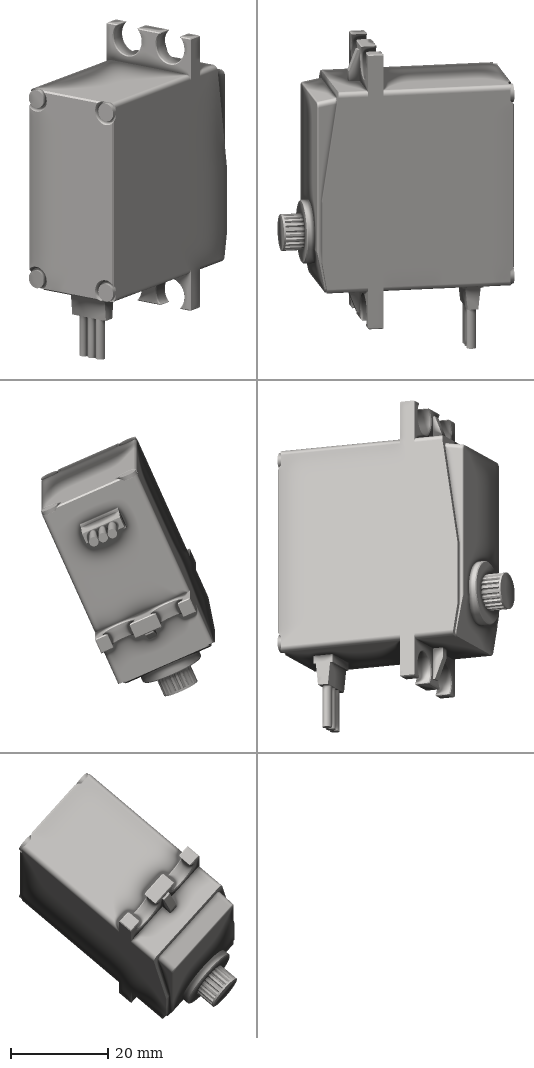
import cadquery as cq
import math


overall_height = 65.2

case_width = 21.4
case_height = 42.6
case_corner = 1.05
cover_edge = 0.3
case_front_low = 39.1
case_front_peak = 40.25
case_front_high = 36.7
peak_start_z = 6.5
peak_end_z = 19.55

cap_width = 19.3
cap_corner = 1.05
cap_base = 32.6
cap_front = 41.1
cap_low_z = 8.6
cap_edge = 0.3
cap_high_z = 40.45
cap_root_high_z = 41.2
cap_stand_off = 0.25

flange_back = 27.4
flange_thickness = 3.25
flange_overhang = 7.8
flange_edge = 0.2
hole_radius = 3.5
hole_offset_x = 5.4
hole_edge_gap = 2.7

rib_width = 1.8
rib_height = 2.2
rib_tip_height = 0.45
rib_flat_length = 2.1
rib_length = 6.5

shaft_z = 10.9
washer_radius = 6.6
washer_front = 42.65
washer_edge = 0.2
shaft_front = 46.95
spline_teeth = 21
spline_tip_radius = 3.8
end_disc_thickness = 0.4
spline_root_radius = 3.4
tip_land_share = 0.4
root_land_share = 0.2

screw_radius = 1.9
screw_inset_x = case_width / 2 - screw_radius
screw_inset_z = 2.0
recess_radius = 2.7
recess_floor_radius = 2.2
recess_depth = 0.85

cable_y = 7.5
grommet_width = 8.55
grommet_collar = 4.3
grommet_collar_length = 1.6
grommet_neck = 3.2
grommet_tip = 2.2
grommet_length = 6.2
grommet_root = 0.3
wire_count = 3
wire_radius = 1.0
wire_pitch = 2.1
wire_end_z = case_height + flange_overhang - overall_height

middle_z = case_height / 2


def side_profile(points, width):
    """Extrude a (Y, Z) outline to a width centred on X = 0."""
    return cq.Workplane("YZ").polyline(points).close().extrude(width / 2, both=True)


def mirror_ends(body):
    """Add the copy of a body at the other end of the case."""
    return body.union(body.mirror("XY", (0, 0, middle_z)))


def make_case():
    outline = [
        (0, 0),
        (case_front_low, 0),
        (case_front_peak, peak_start_z),
        (case_front_peak, peak_end_z),
        (case_front_high, case_height),
        (0, case_height),
    ]
    case = side_profile(outline, case_width)
    return case.edges("|Y").fillet(case_corner).faces("<Y").chamfer(cover_edge)


def make_cap():
    end_slope = (cap_root_high_z - cap_high_z) / (cap_front - case_front_high)
    base_high_z = cap_root_high_z + end_slope * (case_front_high - cap_base)
    outline = [
        (cap_base, 0),
        (case_front_low + cap_stand_off, 0),
        (cap_front, cap_low_z),
        (cap_front, cap_high_z),
        (cap_base, base_high_z),
    ]
    cap = side_profile(outline, cap_width).edges("|Y").fillet(cap_corner)
    sloped_end = cq.selectors.ParallelDirSelector(cq.Vector(0, -1, end_slope))
    cap = cap.edges(sloped_end).fillet(cap_corner)
    return cap.faces(">Y").edges().fillet(cap_edge)


def make_flange():
    flange_height = case_height + 2 * flange_overhang
    flange = cq.Workplane("XY").box(case_width, flange_thickness, flange_height)
    flange = flange.translate((0, flange_back + flange_thickness / 2, middle_z))
    hole_z = middle_z + flange_overhang - hole_edge_gap
    holes = (
        cq.Workplane("XZ", origin=(0, 0, middle_z))
        .rect(2 * hole_offset_x, 2 * hole_z, forConstruction=True)
        .vertices()
        .circle(hole_radius)
        .extrude(-shaft_front)
    )
    return flange.cut(holes).edges("not |Z").chamfer(flange_edge)


def make_ribs():
    """Ribs on the output side of the tabs, rooted in the flange and the case."""
    root_y = flange_back + flange_thickness / 2
    root_z = case_height - case_corner
    face_y = flange_back + flange_thickness
    outline = [
        (root_y, root_z),
        (face_y + rib_height, root_z),
        (face_y + rib_height, case_height + rib_flat_length),
        (face_y + rib_tip_height, case_height + rib_length),
        (root_y, case_height + rib_length),
    ]
    return mirror_ends(side_profile(outline, rib_width))


def spline_outline():
    """Corner points of the toothed section, one tooth pointing along +Z."""
    pitch = 2 * math.pi / spline_teeth
    tip_land = tip_land_share * pitch
    root_land = root_land_share * pitch
    points = []
    for tooth in range(spline_teeth):
        tip_angle = math.pi / 2 + tooth * pitch
        root_angle = tip_angle + pitch / 2
        corners = [
            (spline_tip_radius, tip_angle - tip_land / 2),
            (spline_tip_radius, tip_angle + tip_land / 2),
            (spline_root_radius, root_angle - root_land / 2),
            (spline_root_radius, root_angle + root_land / 2),
        ]
        points += [(radius * math.cos(angle), radius * math.sin(angle)) for radius, angle in corners]
    return points


def make_shaft():
    """Washer, splined shaft and the plain disc at its end, rooted inside the case."""
    root = cq.Workplane("XZ", origin=(0, flange_back, shaft_z))
    washer = root.circle(washer_radius).extrude(flange_back - washer_front)
    washer = washer.faces(">Y").chamfer(washer_edge)
    spline = root.polyline(spline_outline()).close().extrude(flange_back - shaft_front)
    end = cq.Workplane("XZ", origin=(0, shaft_front, shaft_z))
    end_disc = end.circle(spline_tip_radius).extrude(end_disc_thickness)
    return washer.union(spline).union(end_disc)


def add_cover_screws(body):
    """Sink a tapered recess in each cover corner and leave a flat screw head in it."""
    corners = (
        cq.Workplane("XZ", origin=(0, 0, middle_z))
        .rect(2 * screw_inset_x, case_height - 2 * screw_inset_z, forConstruction=True)
        .vertices()
    )
    taper = math.degrees(math.atan((recess_radius - recess_floor_radius) / recess_depth))
    recesses = corners.circle(recess_radius).extrude(-recess_depth, taper=taper)
    heads = corners.circle(screw_radius).extrude(-2 * recess_depth)
    return body.cut(recesses).union(heads)


def make_cable():
    """Grommet with a stepped collar and tapered neck, carrying a row of wires."""
    half_outline = [
        (grommet_collar / 2, grommet_root),
        (grommet_collar / 2, -grommet_collar_length),
        (grommet_neck / 2, -grommet_collar_length),
        (grommet_tip / 2, -grommet_length),
    ]
    other_half = [(-y, z) for y, z in reversed(half_outline)]
    outline = [(cable_y + y, z) for y, z in half_outline + other_half]
    grommet = side_profile(outline, grommet_width)
    wires = (
        cq.Workplane("XY", origin=(0, cable_y, wire_end_z))
        .rarray(wire_pitch, 0.65, wire_count, 1)
        .circle(wire_radius)
        .extrude(-wire_end_z)
    )
    return grommet.union(wires)


result = make_case().union(make_cap()).union(make_flange()).union(make_ribs()).union(make_shaft())
result = add_cover_screws(result).union(make_cable())